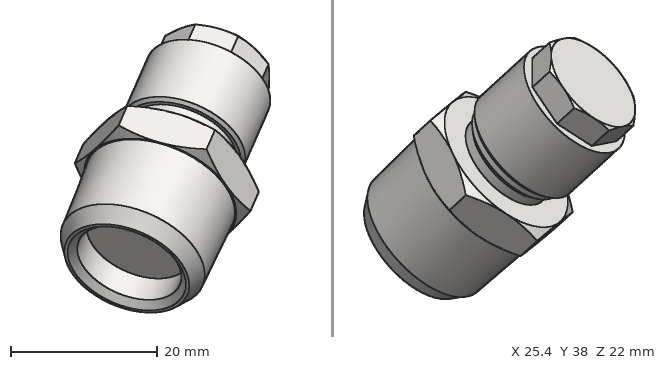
import cadquery as cq
import math

Y_THREAD_CHAMFER = 2.45
Y_HEX_START = 14.0
Y_HEX_END = 19.5
Y_NECK_END = 21.0
Y_RIM_START = 21.75
Y_COLLAR_START = 23.0
Y_COLLAR_END = 34.0
LENGTH = 38.0

THREAD_BASE_RADIUS = 10.8
THREAD_TAPER = 1 / 32
END_CHAMFER_ANGLE = 30.0
NECK_RADIUS = 7.25
RIM_RADIUS = 7.98
COLLAR_RADIUS = 9.0
COLLAR_CHAMFER = 0.5

HEX_FLATS = 22.0
OCTAGON_FLATS = 14.97
CORNER_CHAMFER_ANGLE = 30.0

RECESS_RADIUS = 7.52
RECESS_MOUTH_RADIUS = 8.55
RECESS_CONE_DEPTH = 1.03
RECESS_DEPTH = 4.95


def tangent(angle):
    return math.tan(math.radians(angle))


def revolve_about_y(profile):
    """Revolve (radius, y) points about the Y axis."""
    return cq.Workplane("XY").polyline(profile).close().revolve(360, (0, 0, 0), (0, 1, 0))


def wrench_section(sides, flats, y_start, y_end, turn, chamfer_start):
    """Regular prism along Y whose corners are bevelled by cones at its ends."""
    corner_radius = flats / 2 / math.cos(math.pi / sides)
    prism = (
        cq.Workplane("XZ", origin=(0, y_start, 0))
        .transformed(rotate=(0, 0, turn))
        .polygon(sides, 2 * corner_radius)
        .extrude(y_start - y_end)
    )
    bevel_drop = (corner_radius - flats / 2) * tangent(CORNER_CHAMFER_ANGLE)
    envelope = [(0, y_start)]
    if chamfer_start:
        envelope += [(flats / 2, y_start), (corner_radius, y_start + bevel_drop)]
    else:
        envelope += [(corner_radius, y_start)]
    envelope += [(corner_radius, y_end - bevel_drop), (flats / 2, y_end), (0, y_end)]
    return prism.intersect(revolve_about_y(envelope))


thread_small_radius = THREAD_BASE_RADIUS - (Y_HEX_START - Y_THREAD_CHAMFER) * THREAD_TAPER
thread_end_radius = thread_small_radius - Y_THREAD_CHAMFER * tangent(END_CHAMFER_ANGLE)
body = revolve_about_y([
    (0, 0),
    (thread_end_radius, 0),
    (thread_small_radius, Y_THREAD_CHAMFER),
    (THREAD_BASE_RADIUS, Y_HEX_START),
    (NECK_RADIUS, Y_HEX_START),
    (NECK_RADIUS, Y_NECK_END),
    (RIM_RADIUS, Y_RIM_START),
    (RIM_RADIUS, Y_COLLAR_START),
    (COLLAR_RADIUS - COLLAR_CHAMFER, Y_COLLAR_START),
    (COLLAR_RADIUS, Y_COLLAR_START + COLLAR_CHAMFER),
    (COLLAR_RADIUS, Y_COLLAR_END),
    (0, Y_COLLAR_END),
])

hexagon = wrench_section(6, HEX_FLATS, Y_HEX_START, Y_HEX_END, 0, True)
octagon = wrench_section(8, OCTAGON_FLATS, Y_COLLAR_END, LENGTH, 180 / 8, False)

recess = revolve_about_y([
    (0, 0),
    (RECESS_MOUTH_RADIUS, 0),
    (RECESS_RADIUS, RECESS_CONE_DEPTH),
    (RECESS_RADIUS, RECESS_DEPTH),
    (0, RECESS_DEPTH),
])

result = body.union(hexagon).union(octagon).cut(recess)